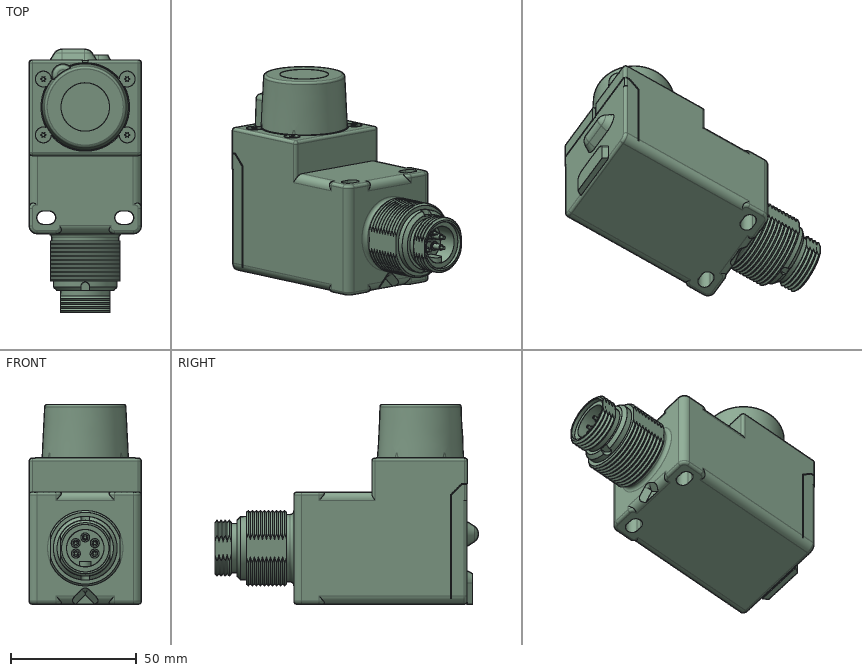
import cadquery as cq
import math


overall_length = 104.6
width = 44.6
half_width = width / 2
body_height = width
front_y = -50.3
rear_y = 18.5
body_corner_radius = 3.1
rear_edge_radius = 1.3
pad_edge_radius = 1.3
long_edge_radius = 3.3
pad_rear_y = -37.7
pad_inner_x = 9.0
pad_corner_radius = 2.6

cap_front_y = -19.4
cap_rear_y = 18.7
cap_bottom_z = body_height - long_edge_radius
cap_top_z = 58.1
cap_edge_radius = 1.3
notch_width = 2.3

seam_width = 0.3
seam_depth = 0.16
seam_y = 11.9
seam_step_y = 16.3
seam_top_z = 47.9

head_top_z = 79.4
head_base_radius = 17.2
head_top_radius = 16.1
head_edge_radius = 1.0
head_flange_radius = 17.6
head_flange_height = 0.2
window_radius = 9.6
window_depth = 0.1

post_x = -8.8
post_y = 12.6
post_base_radius = 4.5
post_top_radius = 4.1
post_top_z = 70.6
post_edge_radius = 1.9

screw_x = 16.6
screw_y = 11.1
screw_radius = 3.1
screw_height = 0.2
clearance_radius = 2.9
star_outer_radius = 1.2
star_inner_radius = 0.6
star_points = 6
star_depth = 0.5

slot_x = 15.5
slot_y = -44.0
slot_length = 7.4
slot_width = 5.2

arrow_height = 7.3
arrow_tip_radius = 2.1
arrow_depth = 2.5
arrow_wall_angle = 45

button_x = -4.7
button_z = 27.9
button_straight = 8.9
button_top_y = 23.0
button_base_half = 4.9
button_dome_half = 3.1
button_dome_y = 21.3
button_shoulder_half = 1.9
button_shoulder_y = 22.5
button_root = 1.0
tab_half_width = 8.9
tab_height = 12.1
tab_thickness = 2.2
tab_flare = 1.3
tab_corner_radius = 3.7

axis_z = body_height / 2
connector_end_y = button_top_y - overall_length
large_radius = 15.0
large_root_radius = 14.2
large_flat = 13.8
large_start_y = -53.2
large_end_y = -69.2
large_turns = 10
neck_wall_radius = 15.0
neck_radius = 13.4
neck_root = 1.0
collar_radius = 12.7
collar_end_y = -72.9
collar_chamfer = 1.5
small_neck_radius = 9.8
small_radius = 11.1
small_root_radius = 10.2
small_flat = 9.8
small_start_y = -75.1
small_turns = 4
key_slot_width = 3.5
key_slot_floor = 10.7
key_slot_center_y = -71.3

mouth_radius = 9.4
mouth_depth = 1.6
bore_radius = 7.4
bore_depth = 9.4
pin_circle_radius = 4.3
pin_angles = (90, 28, 152, -30, 210)
pin_base_radius = 1.8
pin_base_length = 0.5
pin_radius = 1.2
pin_length = 4.2
pin_tip_radius = 0.6
pin_tip_length = 6.0
key_width = 4.4
key_thickness = 2.1
key_center_z = -6.3
key_length = 7.5


def box_between(x0, x1, y0, y1, z0, z1):
    return cq.Workplane("XY").box(x1 - x0, y1 - y0, z1 - z0, centered=False).translate((x0, y0, z0))


def cylinder_y(radius, x, z, y_from, y_to):
    """Cylinder along Y, running from y_from towards -Y down to y_to."""
    plane = cq.Workplane("XZ", origin=(x, y_from, z))
    return plane.circle(radius).extrude(y_from - y_to)


def make_housing():
    core = box_between(-half_width, half_width, front_y, rear_y, 0, body_height)
    core = core.edges("|Z and <Y").fillet(body_corner_radius)
    core = core.faces("<Z or >Z").edges("not >Y").fillet(long_edge_radius)
    core = core.faces(">Y").edges().fillet(rear_edge_radius)

    pad = make_pad_column()
    housing = core.union(pad).union(pad.mirror("YZ"))
    for x in (-slot_x, slot_x):
        slot = cq.Workplane("XY").center(x, slot_y).slot2D(slot_length, slot_width).extrude(body_height)
        housing = housing.cut(slot)
    return housing.cut(make_arrow_recess())


def make_pad_column():
    """Front corner column whose ends are the raised pads around one mounting slot."""
    pad = box_between(pad_inner_x, half_width, front_y, pad_rear_y, 0, body_height)
    pad = pad.edges("|Z and <Y and >X").fillet(body_corner_radius)
    pad = pad.edges("|Z and (<X or >Y)").fillet(pad_corner_radius)
    return pad.faces("<Z or >Z").edges().fillet(pad_edge_radius)


def make_arrow_recess():
    """Arrowhead pocket with sloping walls, open through the underside."""
    half_base = 2 * arrow_height
    left_corner = (-half_base, arrow_height - half_base)
    right_corner = (half_base, arrow_height - half_base)
    outline = (
        cq.Sketch()
        .polygon([left_corner, right_corner, (0, arrow_height), left_corner])
        .vertices(">Y")
        .fillet(arrow_tip_radius)
    )
    front_plane = cq.Workplane("XZ", origin=(0, front_y, 0))
    return front_plane.placeSketch(outline).extrude(-arrow_depth, taper=arrow_wall_angle)


def make_cap():
    cap = box_between(-half_width, half_width, cap_front_y, cap_rear_y, cap_bottom_z, cap_top_z)
    cap = cap.edges("|Z").fillet(cap_edge_radius)
    cap = cap.faces(">Z").edges().fillet(cap_edge_radius)
    below_seam = box_between(-half_width, half_width, rear_y, cap_rear_y, cap_bottom_z, seam_top_z)
    notch = box_between(
        -notch_width / 2, notch_width / 2, cap_rear_y - cap_edge_radius, cap_rear_y, seam_top_z, cap_top_z
    )
    return cap.cut(below_seam).cut(notch)


def make_seam():
    """Thin stepped groove on one side, between the rear cover and the housing."""
    step_z = seam_top_z - (seam_step_y - seam_y)
    diagonal_shift = seam_width * math.tan(math.pi / 8)
    return (
        cq.Workplane("YZ", origin=(-half_width, 0, 0))
        .polyline([
            (seam_y, 0),
            (seam_y, step_z),
            (seam_step_y, seam_top_z),
            (cap_rear_y, seam_top_z),
            (cap_rear_y, seam_top_z - seam_width),
            (seam_step_y + diagonal_shift, seam_top_z - seam_width),
            (seam_y + seam_width, step_z - diagonal_shift),
            (seam_y + seam_width, 0),
        ])
        .close()
        .extrude(seam_depth)
    )


def make_cone(base_radius, top_radius, top_z, edge_radius):
    """Upright cone on the cap with a rounded top edge."""
    cone = (
        cq.Workplane("XY", origin=(0, 0, cap_top_z))
        .circle(base_radius)
        .workplane(offset=top_z - cap_top_z)
        .circle(top_radius)
        .loft()
    )
    return cone.faces(">Z").edges().fillet(edge_radius)


def disc(radius, bottom_z, thickness):
    return cq.Workplane("XY", origin=(0, 0, bottom_z)).circle(radius).extrude(thickness)


def make_head():
    head = make_cone(head_base_radius, head_top_radius, head_top_z, head_edge_radius)
    flange = disc(head_flange_radius, cap_top_z, head_flange_height)
    post = make_cone(post_base_radius, post_top_radius, post_top_z, post_edge_radius)
    window = disc(window_radius, head_top_z - window_depth, window_depth)
    head = head.union(flange).union(post.translate((post_x, post_y, 0)))
    return head.cut(window)


def star_outline():
    points = []
    for i in range(2 * star_points):
        radius = star_outer_radius if i % 2 == 0 else star_inner_radius
        angle = math.pi * i / star_points
        points.append((radius * math.cos(angle), radius * math.sin(angle)))
    return points


def add_screws(part):
    """Low screw heads with star sockets, each cleared from the foot of the head."""
    head_z = cap_top_z + screw_height
    for x in (-screw_x, screw_x):
        for y in (-screw_y, screw_y):
            base = cq.Workplane("XY", origin=(x, y, cap_top_z))
            clearance = base.circle(clearance_radius).extrude(head_top_z - cap_top_z)
            screw = base.circle(screw_radius).extrude(screw_height)
            star = (
                cq.Workplane("XY", origin=(x, y, head_z - star_depth))
                .polyline(star_outline())
                .close()
                .extrude(star_depth)
            )
            part = part.cut(clearance).union(screw).cut(star)
    return part


def button_section(workplane):
    """Half section of the button: sloped flank and domed top, rooted in the rear wall."""
    wall_y = rear_y - button_root
    return (
        workplane.moveTo(0, wall_y)
        .lineTo(button_base_half, wall_y)
        .lineTo(button_base_half, rear_y)
        .lineTo(button_dome_half, button_dome_y)
        .threePointArc((button_shoulder_half, button_shoulder_y), (0, button_top_y))
        .close()
    )


def make_button():
    """Long domed button on the rear face."""
    end = button_section(cq.Workplane("XY")).revolve(360, (0, 0, 0), (0, 1, 0))
    section_plane = cq.Workplane("ZY", origin=(button_straight / 2, 0, 0))
    half_section = button_section(section_plane).extrude(button_straight)
    button = half_section.union(half_section.mirror("XY"))
    for x in (-button_straight / 2, button_straight / 2):
        button = button.union(end.translate((x, 0, 0)))
    return button.translate((button_x, 0, button_z))


def make_tab():
    """Flared tab with round upper corners, cut flat at the underside of the housing."""
    taper = math.degrees(math.atan(tab_flare / tab_thickness))
    outline = cq.Sketch().rect(2 * tab_half_width, 2 * tab_height).vertices().fillet(tab_corner_radius)
    tab = (
        cq.Workplane("XZ", origin=(0, rear_y + tab_thickness, 0))
        .placeSketch(outline)
        .extrude(tab_thickness, taper=-taper)
    )
    above_base = box_between(-half_width, half_width, rear_y, button_top_y, 0, body_height)
    return tab.intersect(above_base)


def thread_crests(y_start, y_end, turns, crest, root):
    """Outline points of a ridged stretch, as (radius, y) pairs going towards -Y."""
    step = (y_end - y_start) / turns
    points = [(root, y_start)]
    for i in range(turns):
        points.append((crest, y_start + (i + 0.5) * step))
        points.append((root, y_start + (i + 1) * step))
    return points


def flat_sided(radius, half_flat, y_start, y_end):
    """Round blank with a flat on each X side."""
    blank = cylinder_y(radius, 0, 0, y_start, y_end)
    return blank.intersect(box_between(-half_flat, half_flat, y_end, y_start, -radius, radius))


def make_thread(y_start, y_end, turns, crest, root, half_flat):
    outline = thread_crests(y_start, y_end, turns, crest, root)
    points = [(0, y_start)] + outline + [(0, y_end)]
    ridges = cq.Workplane("XY").polyline(points).close().revolve(360, (0, 0, 0), (0, 1, 0))
    return ridges.intersect(flat_sided(crest, half_flat, y_start, y_end))


def make_connector():
    """Connector around the Y axis, still at Z = 0."""
    inside_y = front_y + neck_root
    neck_arc_y = front_y - (neck_wall_radius - neck_radius)
    neck = (
        cq.Workplane("XY")
        .moveTo(0, inside_y)
        .lineTo(neck_wall_radius, inside_y)
        .lineTo(neck_wall_radius, front_y)
        .radiusArc((neck_radius, neck_arc_y), -(neck_wall_radius - neck_radius))
        .lineTo(neck_radius, large_start_y)
        .lineTo(0, large_start_y)
        .close()
        .revolve(360, (0, 0, 0), (0, 1, 0))
    )
    collar = cylinder_y(collar_radius, 0, 0, large_end_y, collar_end_y)
    collar = collar.faces("<Y").edges().chamfer(collar_chamfer)
    for side in (0, 180):
        collar = collar.cut(make_key_slot().rotate((0, 0, 0), (0, 1, 0), side))

    connector = neck.union(
        make_thread(large_start_y, large_end_y, large_turns, large_radius, large_root_radius, large_flat)
    )
    connector = connector.union(collar)
    connector = connector.union(cylinder_y(small_neck_radius, 0, 0, collar_end_y, small_start_y))
    connector = connector.union(
        make_thread(small_start_y, connector_end_y, small_turns, small_radius, small_root_radius, small_flat)
    )
    return hollow_socket(connector)


def make_key_slot():
    """Slot with a round end, open towards -Y."""
    radius = key_slot_width / 2
    plane = cq.Workplane("XY", origin=(0, 0, key_slot_floor))
    round_end = plane.center(0, key_slot_center_y).circle(radius).extrude(collar_radius)
    opening = box_between(
        -radius, radius, collar_end_y, key_slot_center_y, key_slot_floor, key_slot_floor + collar_radius
    )
    return round_end.union(opening)


def hollow_socket(connector):
    """Cut the socket and stand the contact pins and the key on its floor."""
    floor_y = connector_end_y + bore_depth
    connector = connector.cut(cylinder_y(mouth_radius, 0, 0, connector_end_y + mouth_depth, connector_end_y))
    connector = connector.cut(cylinder_y(bore_radius, 0, 0, floor_y, connector_end_y))
    pin_steps = (
        (pin_base_radius, pin_base_length),
        (pin_radius, pin_length),
        (pin_tip_radius, pin_tip_length),
    )
    for angle in pin_angles:
        x = pin_circle_radius * math.cos(math.radians(angle))
        z = pin_circle_radius * math.sin(math.radians(angle))
        for radius, length in pin_steps:
            connector = connector.union(cylinder_y(radius, x, z, floor_y, floor_y - length))

    half_key = key_width / 2
    straight_end_y = floor_y - key_length + half_key
    key = (
        cq.Workplane("XY", origin=(0, 0, key_center_z - key_thickness / 2))
        .moveTo(-half_key, floor_y)
        .lineTo(-half_key, straight_end_y)
        .threePointArc((0, floor_y - key_length), (half_key, straight_end_y))
        .lineTo(half_key, floor_y)
        .close()
        .extrude(key_thickness)
    )
    return connector.union(key)


result = make_housing().union(make_cap())
seam = make_seam()
result = result.cut(seam).cut(seam.mirror("YZ"))
result = add_screws(result.union(make_head()))
result = result.union(make_button()).union(make_tab())
result = result.union(make_connector().translate((0, 0, axis_z)))